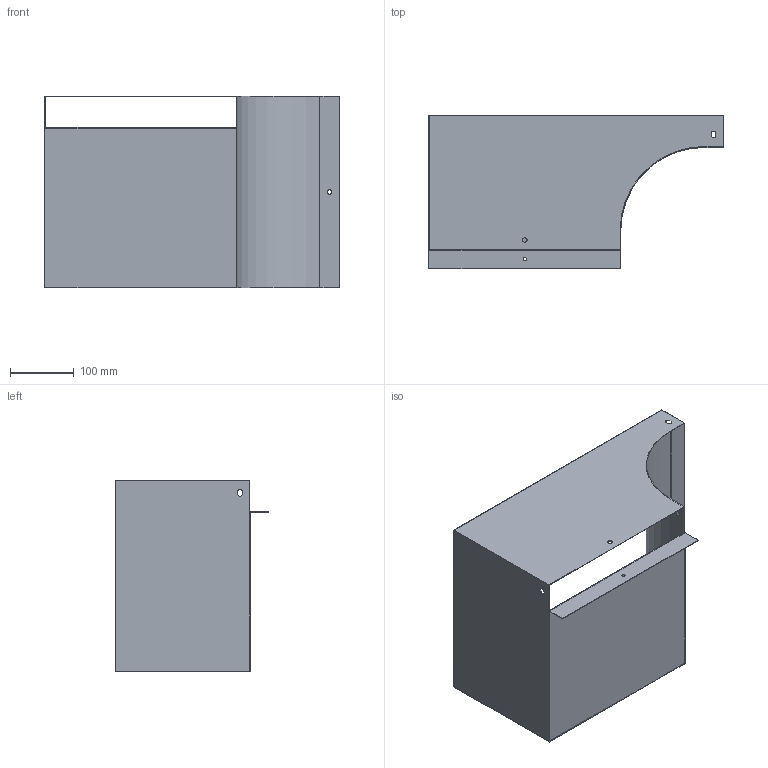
import cadquery as cq
import math

length = 460.0
depth = 240.0
height = 300.0
sheet = 1.0

front_length = 300.0
front_height = 250.0
lip_depth = 30.0
front_y = lip_depth

end_depth = 50.0
strip_length = 30.0
strip_y = depth - end_depth
corner_radius = length - front_length - strip_length
corner_x = front_length + corner_radius
corner_y = strip_y - corner_radius

edge_distance = 15.0
hole_diameter = 7.0
lip_hole_diameter = 5.0
slot_width = 7.0
slot_length = 10.5
upright = 90.0
slot_offset = 20.0
side_slot_z = height - slot_offset
end_slot_y = strip_y + slot_offset


def box(x_range, y_range, z_range):
    """Box spanning the given (low, high) ranges."""
    spans = [high - low for low, high in (x_range, y_range, z_range)]
    corner = (x_range[0], y_range[0], z_range[0])
    return cq.Workplane("XY").box(*spans, centered=False).translate(corner)


def arc_middle(radius):
    """Middle point of a quarter arc around the corner centre, on its inner (-X, +Y) side."""
    offset = radius * math.sqrt(0.5)
    return (corner_x - offset, corner_y + offset)


def flat_plate(bottom_z):
    """Horizontal plate that follows the concave corner; closes the top or the bottom."""
    return (
        cq.Workplane("XY", origin=(0, 0, bottom_z))
        .moveTo(0, front_y)
        .lineTo(front_length, front_y)
        .lineTo(front_length, corner_y)
        .threePointArc(arc_middle(corner_radius), (corner_x, strip_y))
        .lineTo(length, strip_y)
        .lineTo(length, depth)
        .lineTo(0, depth)
        .close()
        .extrude(sheet)
    )


def corner_wall():
    """Full-height wall: short straight run, concave quarter round, end strip."""
    outer_radius = corner_radius + sheet
    return (
        cq.Workplane("XY")
        .moveTo(front_length, front_y)
        .lineTo(front_length, corner_y)
        .threePointArc(arc_middle(corner_radius), (corner_x, strip_y))
        .lineTo(length, strip_y)
        .lineTo(length, strip_y + sheet)
        .lineTo(corner_x, strip_y + sheet)
        .threePointArc(arc_middle(outer_radius), (front_length - sheet, corner_y))
        .lineTo(front_length - sheet, front_y)
        .close()
        .extrude(height)
    )


def left_wall():
    """Full-height flat wall at the left end."""
    return box((0, sheet), (front_y, depth), (0, height))


def front_panel():
    """Front panel on the cover's front edges, with its outward lip on top."""
    panel = box((0, front_length), (front_y - sheet, front_y), (0, front_height))
    lip = box((0, front_length), (0, front_y), (front_height, front_height + sheet))
    return panel.union(lip)


def vertical_holes():
    """Round holes in the top plate and the lip, and the slot through both plates at the right end."""
    hole_x = front_length / 2
    top_hole = (
        cq.Workplane("XY", origin=(hole_x, front_y + edge_distance, height - sheet))
        .circle(hole_diameter / 2)
        .extrude(sheet)
    )
    lip_hole = (
        cq.Workplane("XY", origin=(hole_x, lip_depth - edge_distance, front_height))
        .circle(lip_hole_diameter / 2)
        .extrude(sheet)
    )
    end_slot = (
        cq.Workplane("XY", origin=(length - edge_distance, end_slot_y, 0))
        .slot2D(slot_length, slot_width, upright)
        .extrude(height)
    )
    return top_hole.union(lip_hole).union(end_slot)


def side_slots():
    """Upright slot through the left wall and the straight run opposite to it."""
    return (
        cq.Workplane("YZ", origin=(0, front_y + edge_distance, side_slot_z))
        .slot2D(slot_length, slot_width, upright)
        .extrude(front_length)
    )


def strip_hole():
    """Round hole halfway up the end strip."""
    return (
        cq.Workplane("XZ", origin=(length - edge_distance, strip_y + sheet, height / 2))
        .circle(hole_diameter / 2)
        .extrude(sheet)
    )


cover = flat_plate(height - sheet).union(flat_plate(0)).union(left_wall()).union(corner_wall())
result = cover.union(front_panel()).cut(vertical_holes()).cut(side_slots()).cut(strip_hole())